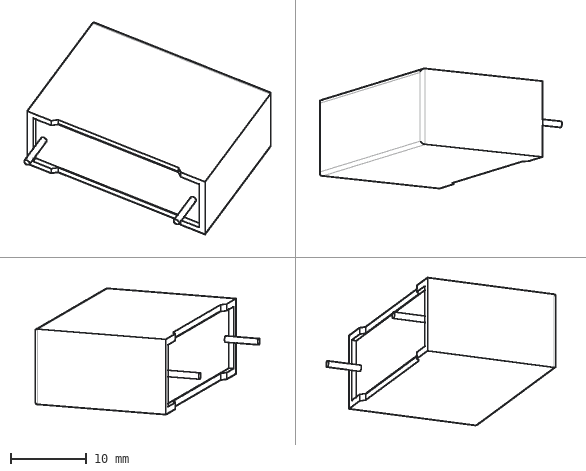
import cadquery as cq

case_width = 26.8
case_height = 10.2
total_depth = 22.6
lead_projection = 4.0
case_depth = total_depth - lead_projection

wall = 0.9
back_edge_radius = 0.48

notch_depth = 0.6
notch_margin = 3.65
notch_slope_run = 0.7

fill_recess = 0.7

lead_diameter = 0.85
lead_spacing = 22.5

open_y = 0.0
fill_front_y = open_y + fill_recess
cavity_depth = case_depth - wall - open_y


def block(width, front_y, depth, height):
    """Box centred on X and Z that extends from front_y toward +Y."""
    return cq.Workplane("XY").box(width, depth, height).translate((0, front_y + depth / 2, 0))


def make_case():
    """Open box with rounded back edges and a notch across its open end."""
    shell = block(case_width, open_y, case_depth, case_height)
    shell = shell.faces(">Y").edges().fillet(back_edge_radius)
    shell = shell.cut(block(case_width - 2 * wall, open_y, cavity_depth, case_height - 2 * wall))

    notch_mouth = case_width / 2 - notch_margin
    notch_floor = notch_mouth - notch_slope_run
    notch = (
        cq.Workplane("XY")
        .moveTo(-notch_mouth, open_y)
        .lineTo(-notch_floor, open_y + notch_depth)
        .lineTo(notch_floor, open_y + notch_depth)
        .lineTo(notch_mouth, open_y)
        .close()
        .extrude(case_height / 2, both=True)
    )
    return shell.cut(notch)


def make_fill():
    """Potting block that fills the cavity up to just behind the notch."""
    fill_depth = cavity_depth - fill_recess
    return block(case_width - 2 * wall, fill_front_y, fill_depth, case_height - 2 * wall)


def make_lead(x):
    """Round wire that runs from the fill face out past the open end."""
    length = fill_front_y + lead_projection
    return (
        cq.Workplane("XZ", origin=(x, fill_front_y, 0))
        .circle(lead_diameter / 2)
        .extrude(length)
    )


case = make_case()
fill = make_fill()
leads = [make_lead(side * lead_spacing / 2) for side in (-1, 1)]

result = cq.Compound.makeCompound([case.val(), fill.val(), *[lead.val() for lead in leads]])